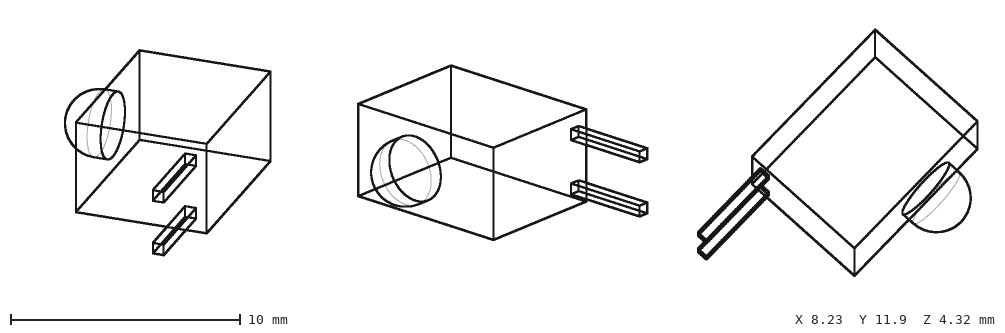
import cadquery as cq

HOUSING_X = 6.10
HOUSING_Y = 7.87
HOUSING_Z = 4.32

LENS_RADIUS = 1.50
LENS_REACH = 2.13
COLLAR_LENGTH = LENS_REACH - LENS_RADIUS
LENS_HEIGHT = 4.56

LEAD_WIDTH = 0.51
LEAD_LENGTH = 3.99
LEAD_PITCH = 2.54
LEAD_INSET = 0.75


def make_housing():
    """Plain block with its -X and -Y faces on the axes, centred on Z."""
    return cq.Workplane("XY").box(HOUSING_X, HOUSING_Y, HOUSING_Z, centered=(False, False, True))


def make_lens():
    """Half profile of collar and dome, revolved about the lens axis along X."""
    dome_start = -COLLAR_LENGTH
    tip = -LENS_REACH
    dome_rise = LENS_RADIUS * 0.5 ** 0.5
    profile = (
        cq.Workplane("XY", origin=(0, LENS_HEIGHT, 0))
        .lineTo(0, LENS_RADIUS)
        .lineTo(dome_start, LENS_RADIUS)
        .threePointArc((dome_start - dome_rise, dome_rise), (tip, 0))
        .close()
    )
    return profile.revolve(360, (0, 0, 0), (1, 0, 0))


def make_lead(z):
    """Square lead running in -Y from the housing at height z."""
    return (
        cq.Workplane("XZ", origin=(HOUSING_X - LEAD_INSET, 0, z))
        .rect(LEAD_WIDTH, LEAD_WIDTH)
        .extrude(LEAD_LENGTH)
    )


result = make_housing().union(make_lens())
for side in (-1, 1):
    result = result.union(make_lead(side * LEAD_PITCH / 2))